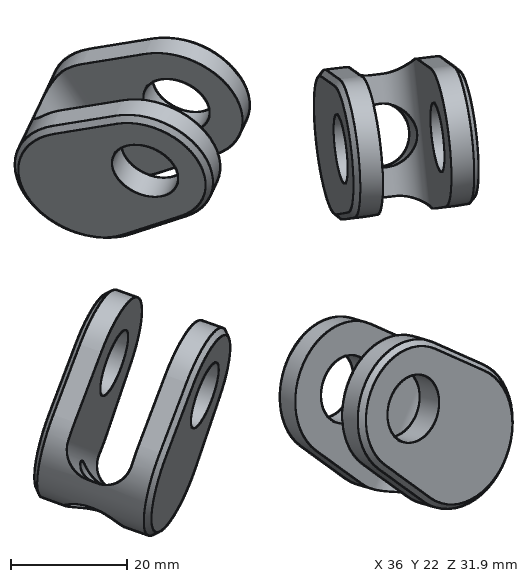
import cadquery as cq
import math

width = 22.0
foot_radius = 13.0
pin_end_radius = 12.0
pin_hole_diameter = 12.0
pin_distance = 13.0
pin_offset_x = 11.0
edge_chamfer = 1.0

slot_width = 12.0
slot_corner_radius = 5.0
slot_floor_offset = 7.5
shank_hole_diameter = 11.0

axis_tilt = math.acos(pin_offset_x / pin_distance)
tangent_angle = math.acos((foot_radius - pin_end_radius) / pin_distance)
clearance_length = 2 * (foot_radius + pin_distance + pin_end_radius)


def arc_point(center_x, radius, angle):
    """Point on a rounded end, with the fork axis as the local x direction."""
    return (center_x + radius * math.cos(angle), radius * math.sin(angle))


def make_body():
    """Tapered rounded plate lying along X, centred on Y, chamfered on both faces."""
    return (
        cq.Workplane("XZ")
        .moveTo(*arc_point(0, foot_radius, tangent_angle))
        .threePointArc((-foot_radius, 0), arc_point(0, foot_radius, -tangent_angle))
        .lineTo(*arc_point(pin_distance, pin_end_radius, -tangent_angle))
        .threePointArc(
            (pin_distance + pin_end_radius, 0),
            arc_point(pin_distance, pin_end_radius, tangent_angle),
        )
        .close()
        .extrude(width / 2, both=True)
        .faces("<Y or >Y")
        .chamfer(edge_chamfer)
    )


def make_slot():
    """Slot between the fork arms, open at the pin end, with rounded floor corners."""
    return (
        cq.Workplane("XY")
        .box(clearance_length, slot_width, clearance_length, centered=(False, True, True))
        .edges("<X and |Z")
        .fillet(slot_corner_radius)
        .translate((-slot_floor_offset, 0, 0))
    )


def make_pin_hole():
    """Pin hole through both fork arms."""
    return (
        cq.Workplane("XZ")
        .center(pin_distance, 0)
        .circle(pin_hole_diameter / 2)
        .extrude(clearance_length / 2, both=True)
    )


def make_shank_hole():
    """Hole along the fork axis, from the rounded foot into the slot."""
    return (
        cq.Workplane("YZ")
        .circle(shank_hole_diameter / 2)
        .extrude(-clearance_length)
    )


fork = make_body().cut(make_slot()).cut(make_pin_hole()).cut(make_shank_hole())

result = fork.rotate((0, 0, 0), (0, 1, 0), -math.degrees(axis_tilt))